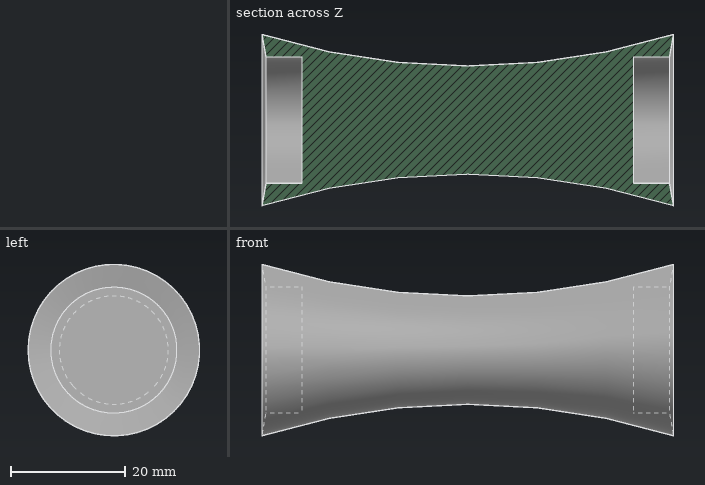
import cadquery as cq

length = 72.0
end_diameter = 30.0
waist_diameter = 19.0
recess_diameter = 22.0
recess_depth = 7.0
rim_dish_depth = 0.7

half_length = length / 2
end_radius = end_diameter / 2
recess_radius = recess_diameter / 2
waist_radius = waist_diameter / 2


def revolve_about_x(profile):
    """Turn a closed half-profile in the XY plane fully around the X axis."""
    return profile.revolve(360, (0, 0, 0), (1, 0, 0))


def waisted_body():
    """Solid body whose outer side is one concave arc along its length."""
    profile = (
        cq.Workplane("XY")
        .moveTo(-half_length, 0)
        .lineTo(-half_length, end_radius)
        .threePointArc((0, waist_radius), (half_length, end_radius))
        .lineTo(half_length, 0)
        .close()
    )
    return revolve_about_x(profile)


def end_recess():
    """Material removed at the -X end: the conical rim and the flat-bottomed recess."""
    floor_x = -half_length + recess_depth
    rim_inner_x = -half_length + rim_dish_depth
    profile = (
        cq.Workplane("XY")
        .moveTo(-half_length, 0)
        .lineTo(-half_length, end_radius)
        .lineTo(rim_inner_x, recess_radius)
        .lineTo(floor_x, recess_radius)
        .lineTo(floor_x, 0)
        .close()
    )
    return revolve_about_x(profile)


left_recess = end_recess()
right_recess = left_recess.mirror("YZ")
result = waisted_body().cut(left_recess).cut(right_recess)